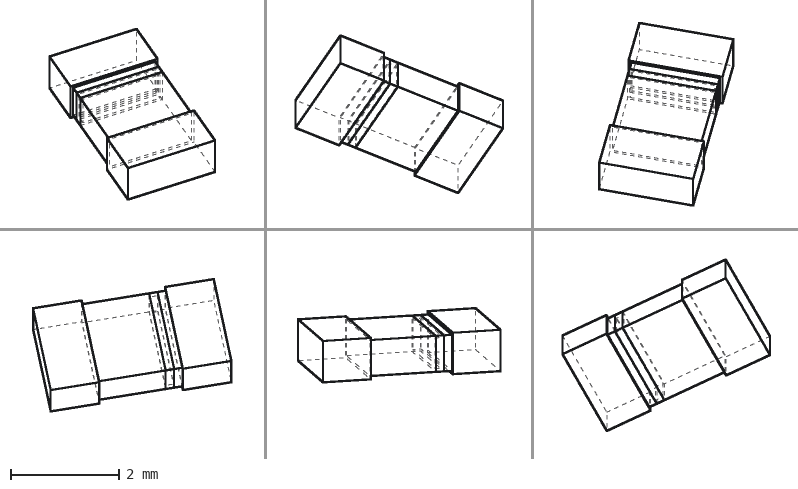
import cadquery as cq

length = 3.4
width = 1.78
height = 0.79

cap_length = 0.915
body_inset = 0.05

band_width = 0.16
band_gap = 0.153
band_depth = 0.05

body_length = length - 2 * cap_length
body_width = width - 2 * body_inset
body_height = height - 2 * body_inset
band_x = -body_length / 2 + band_gap + band_width / 2


def make_cap(side):
    """Solid end terminal; side is -1 for the left end and +1 for the right."""
    cap_x = side * (length - cap_length) / 2
    return cq.Workplane("XY").box(cap_length, width, height).translate((cap_x, 0, 0))


def make_band():
    """Rectangular polarity ring that fills the groove around the body."""
    outer = cq.Workplane("XY").box(band_width, body_width, body_height)
    core = cq.Workplane("XY").box(
        band_width, body_width - 2 * band_depth, body_height - 2 * band_depth
    )
    return outer.cut(core).translate((band_x, 0, 0))


def make_body(band):
    """Block between the caps, grooved to seat the band."""
    return cq.Workplane("XY").box(body_length, body_width, body_height).cut(band)


caps = [make_cap(side) for side in (-1, 1)]
band = make_band()
body = make_body(band)

result = cq.Compound.makeCompound([*[cap.val() for cap in caps], band.val(), body.val()])